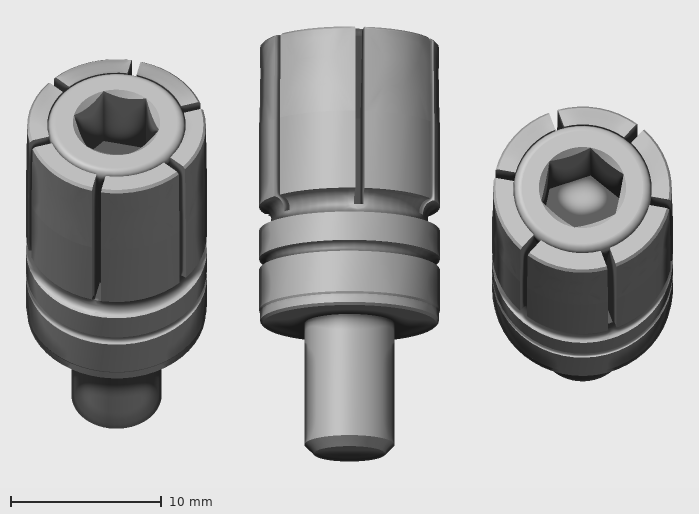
import cadquery as cq
TOTAL_HEIGHT = 28.0
SLEEVE_BOTTOM = 8.85
SLEEVE_TOP = 27.78
TAPER_START = 22.0
SLOT_FLOOR = 15.85

SLEEVE_RADIUS = 12.0 / 2
TAPER_TOP_RADIUS = 5.95
TOP_CHAMFER = 0.17
BOTTOM_CHAMFER = 0.17
RIM_RADIUS = 5.95
RIM_TOP = 9.6
RIM_STEP_HEIGHT = 0.15
RELIEF_GROOVE_CENTRE = 15.95
RELIEF_GROOVE_RADIUS = 0.8
SEAL_GROOVE_CENTRE = 12.85
SEAL_GROOVE_WIDTH = 0.73
SEAL_GROOVE_DEPTH = 0.5
SLOT_COUNT = 6
SLOT_WIDTH = 0.62

HEAD_RADIUS = 4.6
HEAD_FILLET = 0.55
CONE_TOP = 27.38
BARREL_RADIUS = 3.65
SHANK_RADIUS = 3.0
TIP_CHAMFER = 0.62
HEX_ACROSS_FLATS = 5.0
HEX_DEPTH = 5.0
HEX_CORNER_RADIUS = HEX_ACROSS_FLATS / 3 ** 0.5
HEX_CHAMFER_DEPTH = 0.35


def screw_envelope():
    """Sharp-edged screw outline: the space the screw fills inside the sleeve."""
    return (
        cq.Workplane("XZ")
        .lineTo(SHANK_RADIUS, 0)
        .lineTo(SHANK_RADIUS, SLOT_FLOOR)
        .lineTo(BARREL_RADIUS, SLOT_FLOOR)
        .lineTo(BARREL_RADIUS, TAPER_START)
        .lineTo(HEAD_RADIUS, CONE_TOP)
        .lineTo(HEAD_RADIUS, TOTAL_HEIGHT)
        .lineTo(0, TOTAL_HEIGHT)
        .close()
        .revolve(360, (0, 0), (0, 1))
    )


def sleeve_blank():
    """Revolved sleeve with its two grooves, before the screw hole and slots."""
    relief_low = RELIEF_GROOVE_CENTRE - RELIEF_GROOVE_RADIUS
    relief_high = RELIEF_GROOVE_CENTRE + RELIEF_GROOVE_RADIUS
    seal_low = SEAL_GROOVE_CENTRE - SEAL_GROOVE_WIDTH / 2
    seal_high = SEAL_GROOVE_CENTRE + SEAL_GROOVE_WIDTH / 2
    return (
        cq.Workplane("XZ")
        .moveTo(0, SLEEVE_BOTTOM)
        .lineTo(RIM_RADIUS - BOTTOM_CHAMFER, SLEEVE_BOTTOM)
        .lineTo(RIM_RADIUS, SLEEVE_BOTTOM + BOTTOM_CHAMFER)
        .lineTo(RIM_RADIUS, RIM_TOP)
        .lineTo(SLEEVE_RADIUS, RIM_TOP + RIM_STEP_HEIGHT)
        .lineTo(SLEEVE_RADIUS, seal_low)
        .threePointArc(
            (SLEEVE_RADIUS - SEAL_GROOVE_DEPTH, SEAL_GROOVE_CENTRE),
            (SLEEVE_RADIUS, seal_high),
        )
        .lineTo(SLEEVE_RADIUS, relief_low)
        .threePointArc(
            (SLEEVE_RADIUS - RELIEF_GROOVE_RADIUS, RELIEF_GROOVE_CENTRE),
            (SLEEVE_RADIUS, relief_high),
        )
        .lineTo(SLEEVE_RADIUS, TAPER_START)
        .lineTo(TAPER_TOP_RADIUS, SLEEVE_TOP - TOP_CHAMFER)
        .lineTo(TAPER_TOP_RADIUS - TOP_CHAMFER, SLEEVE_TOP)
        .lineTo(0, SLEEVE_TOP)
        .close()
        .revolve(360, (0, 0), (0, 1))
    )


def cut_slots(body):
    """Radial slots through the wall that divide the upper sleeve into jaws."""
    slot = (
        cq.Workplane("XY", origin=(SLEEVE_RADIUS / 2, 0, SLOT_FLOOR))
        .rect(SLEEVE_RADIUS, SLOT_WIDTH)
        .extrude(SLEEVE_TOP - SLOT_FLOOR)
    )
    for index in range(SLOT_COUNT):
        body = body.cut(slot.rotate((0, 0, 0), (0, 0, 1), index * 360 / SLOT_COUNT))
    return body


def make_sleeve():
    return cut_slots(sleeve_blank().cut(screw_envelope()))


def screw_blank():
    """Screw with its head rim rounded and its tip chamfered."""
    return (
        screw_envelope()
        .faces(">Z")
        .edges()
        .fillet(HEAD_FILLET)
        .faces("<Z")
        .edges()
        .chamfer(TIP_CHAMFER)
    )


def cut_hex_socket(body):
    """Hexagon socket with corners on the Y axis and a conical lead-in."""
    socket = (
        cq.Workplane("XY", origin=(0, 0, TOTAL_HEIGHT - HEX_DEPTH))
        .polygon(6, 2 * HEX_CORNER_RADIUS)
        .extrude(HEX_DEPTH)
        .rotate((0, 0, 0), (0, 0, 1), 90)
    )
    lead_in = (
        cq.Workplane("XZ")
        .moveTo(0, TOTAL_HEIGHT)
        .lineTo(HEX_CORNER_RADIUS, TOTAL_HEIGHT)
        .lineTo(HEX_ACROSS_FLATS / 2, TOTAL_HEIGHT - HEX_CHAMFER_DEPTH)
        .lineTo(0, TOTAL_HEIGHT - HEX_CHAMFER_DEPTH)
        .close()
        .revolve(360, (0, 0), (0, 1))
    )
    return body.cut(socket).cut(lead_in)


def make_screw():
    return cut_hex_socket(screw_blank())


sleeve = make_sleeve()
screw = make_screw()

result = cq.Compound.makeCompound([sleeve.val(), screw.val()])